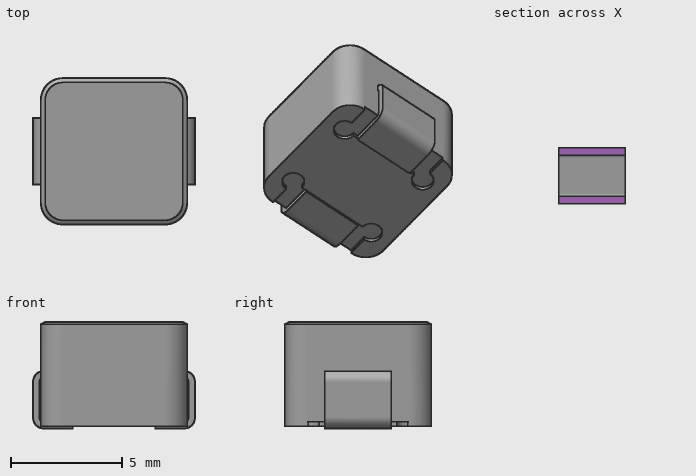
import cadquery as cq

body_size = 6.6
body_bottom = 0.1
part_height = 4.8
corner_radius = 1.0
bevel_inset = 0.2
bevel_drop = 0.1

overall_length = 7.3
strip_thickness = 0.3
strip_width = 3.0
strip_height = 2.6
bend_radius = 0.5
foot_end = 1.85
strip_embed = 0.3

pocket_width = 4.5
pocket_top = strip_thickness
relief_radius = 0.5

body_face = body_size / 2
strip_face = overall_length / 2


def make_body():
    block = (
        cq.Workplane("XY")
        .workplane(offset=body_bottom)
        .rect(body_size, body_size)
        .extrude(part_height - body_bottom)
        .edges("|Z")
        .fillet(corner_radius)
    )
    top_rim = block.faces(">Z").edges().vals()
    bevelled = block.val().chamfer(bevel_drop, bevel_inset, top_rim)
    return cq.Workplane(obj=bevelled)


def make_pocket():
    """Pocket on the -X side, open to the side wall and to the underside."""
    depth = pocket_top - body_bottom
    base = cq.Workplane("XY").workplane(offset=body_bottom)
    length = body_face - foot_end
    pocket = base.center(-foot_end - length / 2, 0).rect(length, pocket_width).extrude(depth)
    inner_corners = [(-foot_end, side * pocket_width / 2) for side in (-1, 1)]
    reliefs = base.pushPoints(inner_corners).circle(relief_radius).extrude(depth)
    return pocket.union(reliefs)


def make_terminal():
    """C-shaped strip on the -X side: foot underneath, upright outside, upper end in the body."""
    upper_end = -body_face + strip_embed
    outer = (
        cq.Workplane("XZ")
        .moveTo(-foot_end, 0)
        .lineTo(-strip_face + bend_radius, 0)
        .radiusArc((-strip_face, bend_radius), bend_radius)
        .lineTo(-strip_face, strip_height - bend_radius)
        .radiusArc((-strip_face + bend_radius, strip_height), bend_radius)
        .lineTo(upper_end, strip_height)
    )
    inner_radius = bend_radius - strip_thickness
    inner_face = -strip_face + strip_thickness
    inner_top = strip_height - strip_thickness
    profile = (
        outer.lineTo(upper_end, inner_top)
        .lineTo(inner_face + inner_radius, inner_top)
        .radiusArc((inner_face, inner_top - inner_radius), -inner_radius)
        .lineTo(inner_face, strip_thickness + inner_radius)
        .radiusArc((inner_face + inner_radius, strip_thickness), -inner_radius)
        .lineTo(-foot_end, strip_thickness)
        .close()
    )
    return profile.extrude(strip_width / 2, both=True)


pocket = make_pocket()
terminal = make_terminal()

result = make_body()
for turn in (0, 180):
    result = result.cut(pocket.rotate((0, 0, 0), (0, 0, 1), turn))
    result = result.union(terminal.rotate((0, 0, 0), (0, 0, 1), turn))